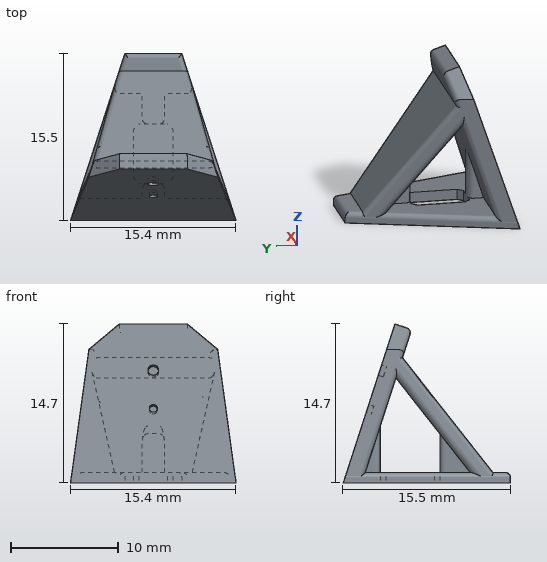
import cadquery as cq
import math

BASE_WIDTH = 15.35
BASE_BACK_WIDTH = 5.28
BASE_DEPTH = 15.5
BASE_THICKNESS = 1.0

PLATE_LEAN = math.radians(18)
PLATE_LENGTH = 15.5
PLATE_THICKNESS = 1.65
SHOULDER_LENGTH = 13.02
SHOULDER_WIDTH = 11.95
PLATE_TOP_WIDTH = 6.3

STRUT_LEAN = math.radians(38.2)
STRUT_THICKNESS = 1.65
STRUT_BACK_Y = 13.86

WEB_WIDTH = 2.05
WINDOW_FRONT_Y = 3.45
WINDOW_BACK_Y = 8.95
WINDOW_WIDTH = 3.65
WINDOW_CHAMFER = 0.5

HOLES = [(11.0, 1.0), (7.28, 0.75)]
HOLE_DEPTH = 0.5

EDGE_RADIUS = 0.5

LEAN_SIN = math.sin(PLATE_LEAN)
LEAN_COS = math.cos(PLATE_LEAN)
LEAN_TAN = math.tan(PLATE_LEAN)
TOP_Z = PLATE_LENGTH * LEAN_COS
JOINT_Z = BASE_THICKNESS / 2
SIDE_TAPER = (BASE_WIDTH - BASE_BACK_WIDTH) / 2 / BASE_DEPTH
SHOULDER_TAPER_LOSS = SIDE_TAPER * SHOULDER_LENGTH * LEAN_SIN
SIDE_DRAFT = ((BASE_WIDTH - SHOULDER_WIDTH) / 2 - SHOULDER_TAPER_LOSS) / (SHOULDER_LENGTH * LEAN_COS)

front_face = cq.Plane(origin=(0, 0, 0), xDir=(1, 0, 0), normal=(0, -LEAN_COS, LEAN_SIN))


def side_trapezoid(z):
    """Plan outline between the two tapered side planes at height z."""
    front = BASE_WIDTH / 2 - SIDE_DRAFT * z
    back = BASE_BACK_WIDTH / 2 - SIDE_DRAFT * z
    return [(-front, 0), (front, 0), (back, BASE_DEPTH), (-back, BASE_DEPTH)]


def side_envelope():
    """Solid bounded by the side planes, from inside the base to the top of the plate."""
    return (
        cq.Workplane("XY", origin=(0, 0, JOINT_Z))
        .polyline(side_trapezoid(JOINT_Z)).close()
        .workplane(offset=TOP_Z - JOINT_Z)
        .polyline(side_trapezoid(TOP_Z)).close()
        .loft(ruled=True)
    )


def extrude_side_profile(points, width):
    """Extrude a (Y, Z) outline symmetrically about the middle plane X = 0."""
    return cq.Workplane("YZ").polyline(points).close().extrude(width / 2, both=True)


def make_base():
    """Base trapezoid with rounded top edges, trimmed flush with the leaning front face."""
    body = cq.Workplane("XY").polyline(side_trapezoid(0)).close().extrude(BASE_THICKNESS)
    body = body.faces(">Z").edges("not <Y").fillet(EDGE_RADIUS)
    behind_plate = extrude_side_profile(
        [(0, 0), (BASE_DEPTH, 0), (BASE_DEPTH, BASE_THICKNESS), (BASE_THICKNESS * LEAN_TAN, BASE_THICKNESS)],
        BASE_WIDTH,
    )
    return body.intersect(behind_plate)


def make_plate():
    """Leaning plate with cut top corners and a rounded rear edge."""
    outline = [
        (-BASE_WIDTH / 2, 0),
        (BASE_WIDTH / 2, 0),
        (BASE_WIDTH / 2, SHOULDER_LENGTH),
        (SHOULDER_WIDTH / 2, SHOULDER_LENGTH),
        (PLATE_TOP_WIDTH / 2, PLATE_LENGTH),
        (-PLATE_TOP_WIDTH / 2, PLATE_LENGTH),
        (-SHOULDER_WIDTH / 2, SHOULDER_LENGTH),
        (-BASE_WIDTH / 2, SHOULDER_LENGTH),
    ]
    slab = cq.Workplane(front_face).polyline(outline).close().extrude(-PLATE_THICKNESS)
    plate = slab.intersect(side_envelope())
    back_face = plate.faces(cq.selectors.DirectionMinMaxSelector(front_face.zDir, False))
    return plate.newObject(back_face.edges("not <Z").vals()).fillet(EDGE_RADIUS)


def strut_line_y(z, depth):
    """Y on the plane lying at the given depth below the back surface of the strut."""
    return STRUT_BACK_Y - (z - BASE_THICKNESS) * math.tan(STRUT_LEAN) - depth / math.cos(STRUT_LEAN)


def joint_with_plate(depth):
    """(Y, Z) where the strut plane at the given depth meets the middle plane of the plate."""
    plate_y_at_zero = PLATE_THICKNESS / 2 / LEAN_COS
    z = (strut_line_y(0, depth) - plate_y_at_zero) / (LEAN_TAN + math.tan(STRUT_LEAN))
    return strut_line_y(z, depth), z


def make_strut():
    """Slanted strut, flush with the plate sides, with its long edges rounded."""
    profile = [
        (strut_line_y(JOINT_Z, 0), JOINT_Z),
        joint_with_plate(0),
        joint_with_plate(STRUT_THICKNESS),
        (strut_line_y(JOINT_Z, STRUT_THICKNESS), JOINT_Z),
    ]
    strut = extrude_side_profile(profile, BASE_WIDTH).intersect(side_envelope())
    strut_normal = cq.Vector(0, math.cos(STRUT_LEAN), math.sin(STRUT_LEAN))
    long_edges = []
    for is_back in (True, False):
        face = strut.faces(cq.selectors.DirectionMinMaxSelector(strut_normal, is_back))
        long_edges += face.edges("not |X").vals()
    return strut.newObject(long_edges).fillet(EDGE_RADIUS)


def make_window():
    """Chamfered vertical cutter that splits the web and passes through the base."""
    return (
        cq.Workplane("XY")
        .center(0, (WINDOW_FRONT_Y + WINDOW_BACK_Y) / 2)
        .rect(WINDOW_WIDTH, WINDOW_BACK_Y - WINDOW_FRONT_Y)
        .extrude(TOP_Z)
        .edges("|Z").chamfer(WINDOW_CHAMFER)
    )


def make_web():
    """Middle web joining base, plate and strut, with rounded ends at the window."""
    half_strut = STRUT_THICKNESS / 2
    profile = [
        (JOINT_Z * LEAN_TAN + PLATE_THICKNESS / 2 / LEAN_COS, JOINT_Z),
        joint_with_plate(half_strut),
        (strut_line_y(JOINT_Z, half_strut), JOINT_Z),
    ]
    web = extrude_side_profile(profile, WEB_WIDTH).cut(make_window())
    return web.edges("|Z").fillet(EDGE_RADIUS)


def make_hole(distance, diameter):
    """Blind cutter square to the front face, at a distance up its slope."""
    return cq.Workplane(front_face).center(0, distance).circle(diameter / 2).extrude(-HOLE_DEPTH)


result = (
    make_base()
    .cut(make_window())
    .union(make_plate())
    .union(make_strut())
    .union(make_web())
)
for hole_distance, hole_diameter in HOLES:
    result = result.cut(make_hole(hole_distance, hole_diameter))